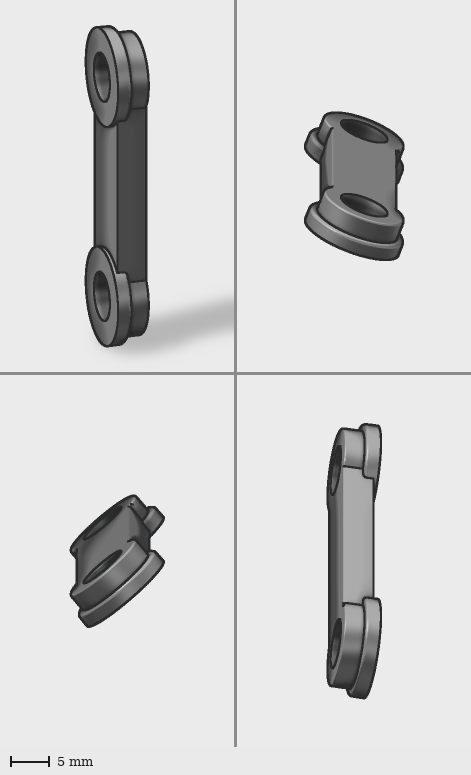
import cadquery as cq

length = 43.0
thickness = 4.6

flange_diameter = 13.0
flange_thickness = 1.98
flange_draft = 1.0
flange_rounding = 0.5

boss_diameter = 11.05
bore_diameter = 6.4

bar_width = 9.05
bar_setback = 0.55
back_rounding = 0.3

flange_radius = flange_diameter / 2
boss_radius = boss_diameter / 2
eye_offset = length / 2 - flange_radius


def make_disc(radius, depth, rounding, draft=0):
    """Disc from Y = 0 back to Y = depth, tapered by draft, with its back edge filleted."""
    disc = cq.Workplane("XZ").circle(radius).extrude(-depth, taper=draft)
    return disc.faces(">Y").edges().fillet(rounding)


def make_eye(center_z):
    """Flange with the narrower boss standing out behind it."""
    flange = make_disc(flange_radius, flange_thickness, flange_rounding, flange_draft)
    boss = make_disc(boss_radius, thickness, back_rounding)
    return flange.union(boss).translate((0, 0, center_z))


def make_bar():
    """Bar between the eye centers with its two long back edges filleted."""
    bar_depth = thickness - bar_setback
    bar = cq.Workplane("XY").box(bar_width, bar_depth, 2 * eye_offset)
    bar = bar.faces(">Y").edges("|Z").fillet(back_rounding)
    return bar.translate((0, bar_setback + bar_depth / 2, 0))


def make_bore(center_z):
    """Cylinder along +Y that clears the full thickness of an eye."""
    return (
        cq.Workplane("XZ", origin=(0, 0, center_z))
        .circle(bore_diameter / 2)
        .extrude(-thickness)
    )


result = make_bar()
for eye_z in (-eye_offset, eye_offset):
    result = result.union(make_eye(eye_z))
for eye_z in (-eye_offset, eye_offset):
    result = result.cut(make_bore(eye_z))